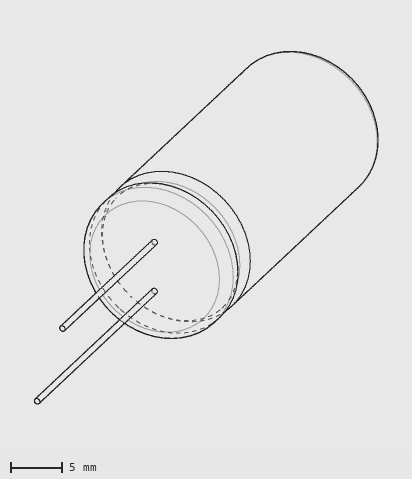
import cadquery as cq
import math

TOTAL_LENGTH = 63.7

CAN_DIAMETER = 16.0
CAN_LENGTH = 36.0
CAN_RADIUS = CAN_DIAMETER / 2
RIM_FILLET = 1.0

GROOVE_NEAR_EDGE = 2.15
GROOVE_BOTTOM = 3.7
GROOVE_FAR_EDGE = 5.05
GROOVE_DEPTH = 0.5

LEAD_DIAMETER = 0.6
LEAD_PITCH = 5.3
LONG_LEAD = TOTAL_LENGTH - CAN_LENGTH
SHORT_LEAD = LONG_LEAD - 6.0


def groove_arc_middle(edge):
    """Point of a groove wall midway, along the axis, between its edge and the bottom.

    Each wall is an arc that is parallel to the axis at the groove bottom.
    """
    half_width = (GROOVE_BOTTOM - edge) / 2
    arc_radius = (4 * half_width**2 + GROOVE_DEPTH**2) / (2 * GROOVE_DEPTH)
    rise = arc_radius - math.sqrt(arc_radius**2 - half_width**2)
    return (CAN_RADIUS - GROOVE_DEPTH + rise, GROOVE_BOTTOM - half_width)


def make_can():
    """Revolve the half outline of the can, with its crimp groove and rounded rims."""
    profile = (
        cq.Workplane("XY")
        .lineTo(CAN_RADIUS, 0)
        .lineTo(CAN_RADIUS, GROOVE_NEAR_EDGE)
        .threePointArc(
            groove_arc_middle(GROOVE_NEAR_EDGE),
            (CAN_RADIUS - GROOVE_DEPTH, GROOVE_BOTTOM),
        )
        .threePointArc(
            groove_arc_middle(GROOVE_FAR_EDGE),
            (CAN_RADIUS, GROOVE_FAR_EDGE),
        )
        .lineTo(CAN_RADIUS, CAN_LENGTH)
        .lineTo(0, CAN_LENGTH)
        .close()
    )
    can = profile.revolve(360, (0, 0), (0, 1))
    return can.faces("<Y or >Y").edges("%CIRCLE").fillet(RIM_FILLET)


def make_lead(height, length):
    """Round wire at the given height, pointing away from the sealed end."""
    return (
        cq.Workplane("XZ")
        .center(0, height)
        .circle(LEAD_DIAMETER / 2)
        .extrude(length)
    )


result = (
    make_can()
    .union(make_lead(LEAD_PITCH / 2, SHORT_LEAD))
    .union(make_lead(-LEAD_PITCH / 2, LONG_LEAD))
)